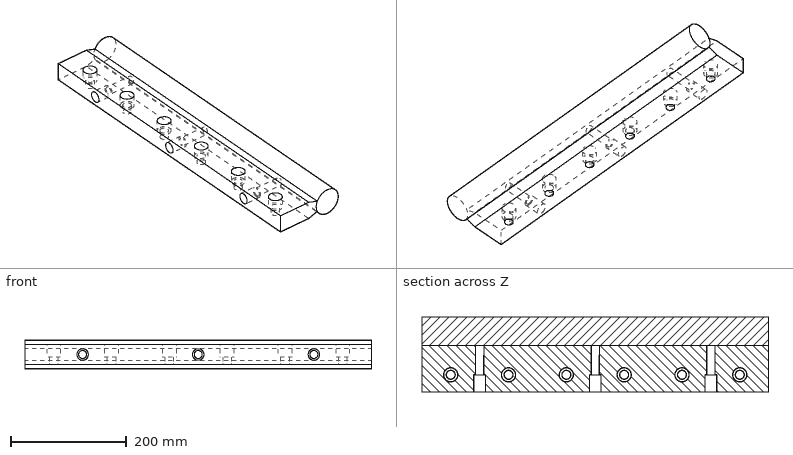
import cadquery as cq
import math

length = 600.0
total_depth = 130.0
rod_diameter = 50.0
rod_radius = rod_diameter / 2

plate_height = 34.0
plate_flat_depth = 63.5
neck_height = 21.5
plate_front = rod_radius - total_depth
bevel_front = plate_front + plate_flat_depth
neck_back = -math.sqrt(rod_radius**2 - (neck_height / 2) ** 2)

mount_count = 6
mount_pitch = length / mount_count
mount_diameter = 15.0
mount_bore_diameter = 24.0
mount_bore_depth = 21.0
mount_inset = 30.0

screw_count = 3
screw_pitch = length / screw_count
screw_diameter = 14.0
screw_bore_diameter = 20.0
screw_bore_depth = 30.0


def make_rod():
    """Plain round rod along X."""
    return cq.Workplane("YZ", origin=(-length / 2, 0, 0)).circle(rod_radius).extrude(length)


def make_plate_blank():
    """Bar with a bevelled neck that ends in a concave seat for the rod."""
    half_height = plate_height / 2
    half_neck = neck_height / 2
    return (
        cq.Workplane("YZ", origin=(-length / 2, 0, 0))
        .moveTo(plate_front, -half_height)
        .lineTo(bevel_front, -half_height)
        .lineTo(neck_back, -half_neck)
        .threePointArc((-rod_radius, 0), (neck_back, half_neck))
        .lineTo(bevel_front, half_height)
        .lineTo(plate_front, half_height)
        .close()
        .extrude(length)
    )


def cut_mount_holes(plate):
    """Row of counterbored holes, open at the top and bottom faces."""
    return (
        plate.copyWorkplane(cq.Workplane("XY", origin=(0, plate_front + mount_inset, plate_height / 2)))
        .rarray(mount_pitch, 6, mount_count, 1)
        .cboreHole(mount_diameter, mount_bore_diameter, mount_bore_depth)
    )


def cut_screw_holes(plate):
    """Row of counterbored holes that run from the front face into the rod seat."""
    return (
        plate.copyWorkplane(cq.Workplane("XZ", origin=(0, plate_front, 0)))
        .rarray(screw_pitch, 6, screw_count, 1)
        .cboreHole(screw_diameter, screw_bore_diameter, screw_bore_depth)
    )


rod = make_rod()
plate = cut_screw_holes(cut_mount_holes(make_plate_blank()))

result = cq.Compound.makeCompound([rod.val(), plate.val()])